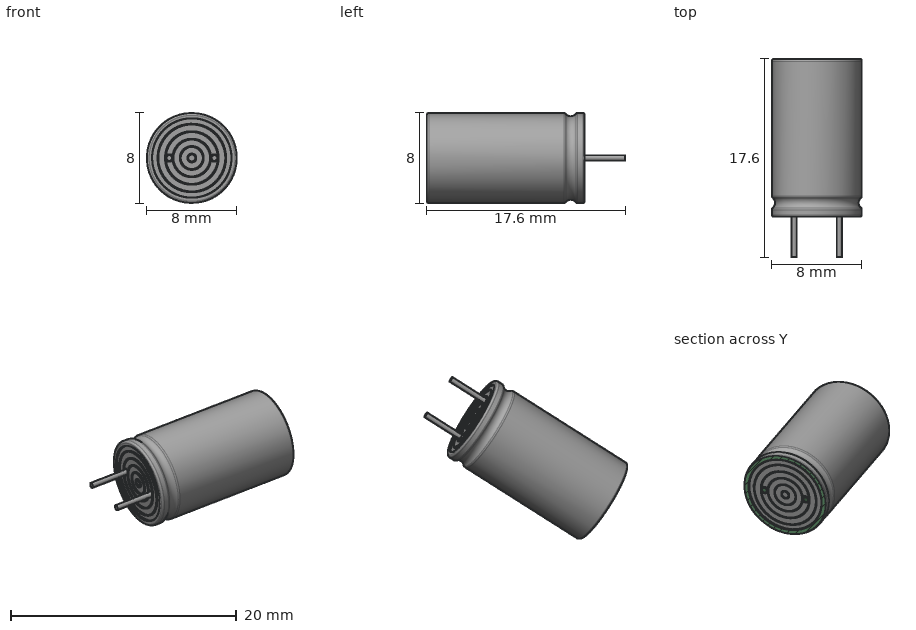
import cadquery as cq
import math

total_length = 17.57
can_length = 14.0
can_radius = 8.0 / 2
edge_radius = 0.2

crimp_y = 1.25
crimp_depth = 0.28
crimp_radius = 0.6
crimp_lip_radius = 0.2

recess_diameter = 7.08
recess_depth = 0.1
plug_diameter = 7.0
gap_depth = 0.21
bead_width = 0.1
bead_outer_diameters = [0.8, 2.15, 3.45, 4.78, 6.11]

lead_diameter = 0.5
lead_spacing = 4.0
lead_hole_diameter = 0.7
lead_hole_depth = 0.53
lead_positions = [-lead_spacing / 2, lead_spacing / 2]


def y_cylinder(diameter, x, y_start, length):
    """Cylinder along +Y from y_start."""
    return cq.Workplane(cq.Solid.makeCylinder(
        diameter / 2, length, cq.Vector(x, y_start, 0), cq.Vector(0, 1, 0)))


def can_blank():
    """Can with rounded rims and the crimp groove, revolved about Y."""
    radius_sum = crimp_radius + crimp_lip_radius
    meet_angle = math.acos(1 - crimp_depth / radius_sum)
    crimp_half_width = radius_sum * math.sin(meet_angle)
    meet_x = can_radius - crimp_lip_radius * (1 - math.cos(meet_angle))
    meet_offset = crimp_radius * math.sin(meet_angle)
    neck_radius = can_radius - crimp_depth

    profile = (
        cq.Workplane("XY")
        .lineTo(can_radius - edge_radius, 0)
        .tangentArcPoint((can_radius, edge_radius), relative=False)
        .lineTo(can_radius, crimp_y - crimp_half_width)
        .tangentArcPoint((meet_x, crimp_y - meet_offset), relative=False)
        .threePointArc((neck_radius, crimp_y), (meet_x, crimp_y + meet_offset))
        .tangentArcPoint((can_radius, crimp_y + crimp_half_width), relative=False)
        .lineTo(can_radius, can_length - edge_radius)
        .tangentArcPoint((can_radius - edge_radius, can_length), relative=False)
        .lineTo(0, can_length)
        .close()
    )
    return profile.revolve(360, (0, 0, 0), (0, 1, 0))


def recess_cutter():
    """Shallow recess whose floor is ringed by a deeper narrow gap along the wall."""
    full_disc = y_cylinder(recess_diameter, 0, 0, gap_depth)
    plug = y_cylinder(plug_diameter, 0, recess_depth, gap_depth - recess_depth)
    return full_disc.cut(plug)


def bead_ring(outer_diameter):
    """Ring on the recess floor: straight walls and a half-round crest level with the can rim."""
    crest_radius = bead_width / 2
    outer_x = outer_diameter / 2
    inner_x = outer_x - bead_width
    section = (
        cq.Workplane("XY")
        .moveTo(inner_x, recess_depth)
        .lineTo(inner_x, crest_radius)
        .threePointArc((inner_x + crest_radius, 0), (outer_x, crest_radius))
        .lineTo(outer_x, recess_depth)
        .close()
    )
    return section.revolve(360, (0, 0, 0), (0, 1, 0))


def make_can():
    """Can with its recessed, beaded end face and the two lead holes."""
    can = can_blank().cut(recess_cutter())
    for outer_diameter in bead_outer_diameters:
        can = can.union(bead_ring(outer_diameter))
    for x in lead_positions:
        can = can.cut(y_cylinder(lead_hole_diameter, x, 0, lead_hole_depth))
    return can


def make_lead(x):
    """Straight round lead standing on the floor of its wider hole."""
    lead_tip_y = can_length - total_length
    return y_cylinder(lead_diameter, x, lead_tip_y, lead_hole_depth - lead_tip_y)


can = make_can()
leads = [make_lead(x) for x in lead_positions]

result = cq.Compound.makeCompound([can.val(), *[lead.val() for lead in leads]])